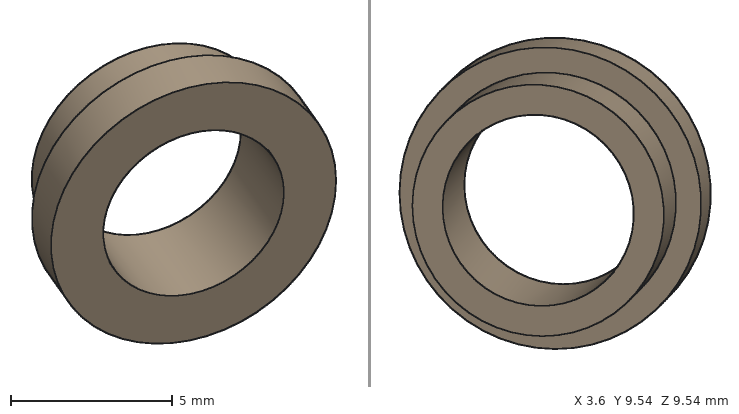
import cadquery as cq

flange_diameter = 9.54
hub_diameter = 7.95
bore_diameter = 6.04
flange_thickness = 1.6
hub_length = 2.0

total_length = hub_length + flange_thickness


def cylinder_along_x(diameter, start_x, length):
    """Solid cylinder on the X axis, running toward +X from start_x."""
    return cq.Workplane("YZ", origin=(start_x, 0, 0)).circle(diameter / 2).extrude(length)


hub = cylinder_along_x(hub_diameter, 0, hub_length)
flange = cylinder_along_x(flange_diameter, hub_length, flange_thickness)

bore = cylinder_along_x(bore_diameter, 0, total_length)

result = hub.union(flange).cut(bore)